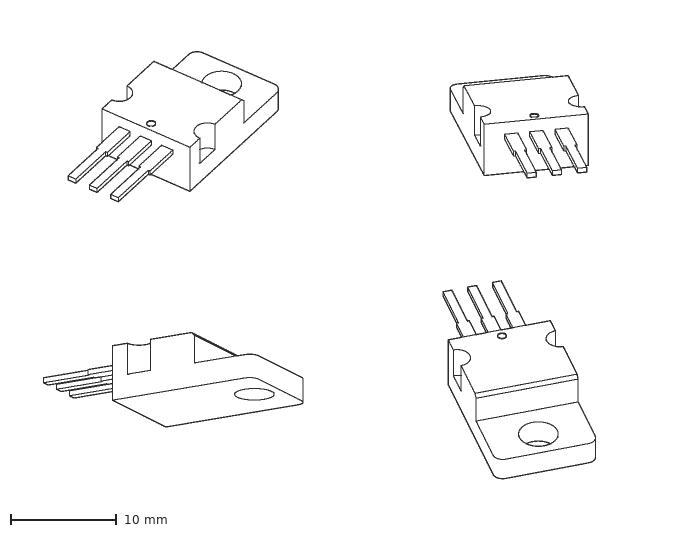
import cadquery as cq

width = 10.12
height = 5.4
total_length = 24.22
lead_length = 8.8
package_length = total_length - lead_length
tab_length = 6.45
tab_thickness = 2.33
body_length = package_length - tab_length
tab_corner_radius = 0.97
body_chamfer = 0.35

hole_diameter = 3.75
hole_to_tab_end = 2.8

notch_radius = 1.25
notch_y = 2.9

mark_diameter = 0.85
mark_y = 0.87
mark_depth = 0.1

lead_count = 3
lead_pitch = 2.45
lead_thickness = 0.5
lead_bottom = 3.63
lead_wide_width = 1.28
lead_narrow_width = 0.9
lead_wide_length = 3.8


def make_package():
    """Stepped body with a rounded tab and a chamfered step edge."""
    profile = [
        (0, 0),
        (package_length, 0),
        (package_length, tab_thickness),
        (body_length, tab_thickness),
        (body_length, height - body_chamfer),
        (body_length - body_chamfer, height),
        (0, height),
    ]
    package = cq.Workplane("YZ").polyline(profile).close().extrude(width / 2, both=True)
    return package.faces(">Y").edges("|Z").fillet(tab_corner_radius)


def vertical_cylinder(x, y, bottom, top, diameter):
    """Upright cylinder used as a cutter."""
    return cq.Workplane("XY", origin=(x, y, bottom)).circle(diameter / 2).extrude(top - bottom)


def make_lead(x):
    """Flat lead that steps down in width towards its tip."""
    half_wide = lead_wide_width / 2
    half_narrow = lead_narrow_width / 2
    outline = [
        (-half_wide, 0),
        (-half_wide, -lead_wide_length),
        (-half_narrow, -lead_wide_length),
        (-half_narrow, -lead_length),
        (half_narrow, -lead_length),
        (half_narrow, -lead_wide_length),
        (half_wide, -lead_wide_length),
        (half_wide, 0),
    ]
    plane = cq.Workplane("XY", origin=(x, 0, lead_bottom))
    return plane.polyline(outline).close().extrude(lead_thickness)


result = make_package()
result = result.cut(
    vertical_cylinder(0, package_length - hole_to_tab_end, 0, tab_thickness, hole_diameter)
)
for side in (-1, 1):
    result = result.cut(
        vertical_cylinder(side * width / 2, notch_y, tab_thickness, height, 2 * notch_radius)
    )
result = result.cut(vertical_cylinder(0, mark_y, height - mark_depth, height, mark_diameter))

for index in range(lead_count):
    lead_x = (index - (lead_count - 1) / 2) * lead_pitch
    result = result.union(make_lead(lead_x))